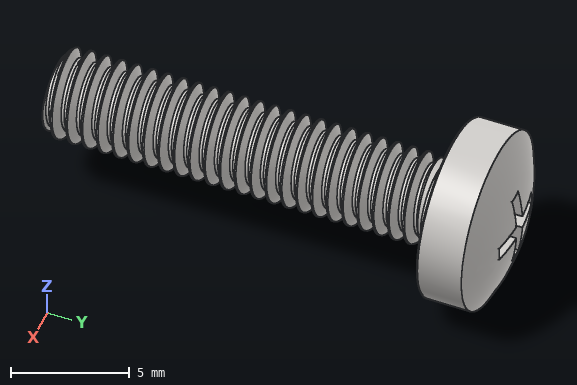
import cadquery as cq
import math


overall_length = 21.05

head_radius = 4.0
head_rim_height = 2.06
head_dome_height = 1.01
head_edge_chamfer = 0.06

recess_slot_width = 0.67
recess_length = 3.58
recess_depth = 2.1

neck_radius = 1.77
neck_length = 0.72
neck_fillet = 0.2

thread_radius = 2.0
thread_root_radius = 1.58
thread_pitch = 0.7
root_width = thread_pitch / 5
flank_slope = math.tan(math.radians(30))
groove_depth_below_head = 1.03
thread_turns_to_tip = 25
thread_end_turns = 0.2
cutter_overlap = 0.02
tip_stock = 1.05
rod_seam_angle = 130.0
runout_slope = 0.4
tip_radius = 1.7
tip_slope = 0.8
trim_radius = thread_radius + 0.1

dome_radius = (head_radius**2 + head_dome_height**2) / (2 * head_dome_height)
head_apex = head_rim_height + head_dome_height


def dome_drop(radius):
    """Height lost from the apex of the dome at a distance from the axis."""
    return dome_radius - math.sqrt(dome_radius**2 - radius**2)


shank_length = overall_length - (head_apex - dome_drop(recess_slot_width / math.sqrt(2)))


def make_head():
    """Revolve the domed head and the filleted neck."""
    dome_mid_radius = head_radius / 2
    fillet_sag = neck_fillet * (1 - math.sqrt(0.5))
    profile = (
        cq.Workplane("XZ")
        .moveTo(0, -neck_length)
        .lineTo(neck_radius, -neck_length)
        .lineTo(neck_radius, -neck_fillet)
        .threePointArc((neck_radius + fillet_sag, -fillet_sag), (neck_radius + neck_fillet, 0))
        .lineTo(head_radius - head_edge_chamfer, 0)
        .lineTo(head_radius, head_edge_chamfer)
        .lineTo(head_radius, head_rim_height)
        .threePointArc((dome_mid_radius, head_apex - dome_drop(dome_mid_radius)), (0, head_apex))
        .close()
    )
    return profile.revolve(360, (0, 0, 0), (0, 1, 0))


def make_recess():
    """Two crossed slots sunk into the dome from its apex."""
    floor = cq.Workplane("XY").workplane(offset=head_apex - recess_depth)
    slot_along_x = floor.rect(recess_length, recess_slot_width).extrude(recess_depth)
    slot_along_y = floor.rect(recess_slot_width, recess_length).extrude(recess_depth)
    return slot_along_x.union(slot_along_y)


def make_threaded_rod():
    """Cut a V groove, swept up a right-hand helix from below the tip, into a plain rod."""
    groove_start = -groove_depth_below_head - thread_turns_to_tip * thread_pitch
    groove_length = (thread_turns_to_tip + thread_end_turns) * thread_pitch
    cutter_radius = thread_radius + cutter_overlap
    root_half_width = root_width / 2
    mouth_half_width = root_half_width + (cutter_radius - thread_root_radius) * flank_slope
    helix = cq.Wire.makeHelix(
        thread_pitch, groove_length, thread_root_radius, cq.Vector(0, 0, groove_start)
    )
    section = cq.Workplane("XZ").polyline(
        [
            (thread_root_radius, groove_start - root_half_width),
            (cutter_radius, groove_start - mouth_half_width),
            (cutter_radius, groove_start + mouth_half_width),
            (thread_root_radius, groove_start + root_half_width),
        ]
    )
    groove = section.close().sweep(cq.Workplane(obj=helix), isFrenet=True)
    rod = (
        cq.Workplane("XY")
        .workplane(offset=-shank_length - tip_stock)
        .circle(thread_radius)
        .extrude(shank_length + tip_stock - neck_length)
        .rotate((0, 0, 0), (0, 0, 1), rod_seam_angle)
    )
    return rod.cut(groove)


def make_runout_trim():
    """Ring whose inner cone tapers the thread crest down to the neck."""
    cone_length = (trim_radius - neck_radius) / runout_slope
    profile = cq.Workplane("XZ").polyline(
        [
            (neck_radius, -neck_length),
            (trim_radius, -neck_length),
            (trim_radius, -neck_length - cone_length),
        ]
    )
    return profile.close().revolve(360, (0, 0, 0), (0, 1, 0))


def make_tip_trim():
    """Body that cuts the thread to length and chamfers its end."""
    cone_length = (trim_radius - tip_radius) / tip_slope
    stock_end = -shank_length - tip_stock - 0.21
    profile = cq.Workplane("XZ").polyline(
        [
            (0, -shank_length),
            (tip_radius, -shank_length),
            (trim_radius, -shank_length + cone_length),
            (trim_radius, stock_end),
            (0, stock_end),
        ]
    )
    return profile.close().revolve(360, (0, 0, 0), (0, 1, 0))


head = make_head().cut(make_recess())
threaded_rod = make_threaded_rod().cut(make_tip_trim())
screw = head.union(threaded_rod).cut(make_runout_trim())
result = screw.rotate((0, 0, 0), (1, 0, 0), -90)